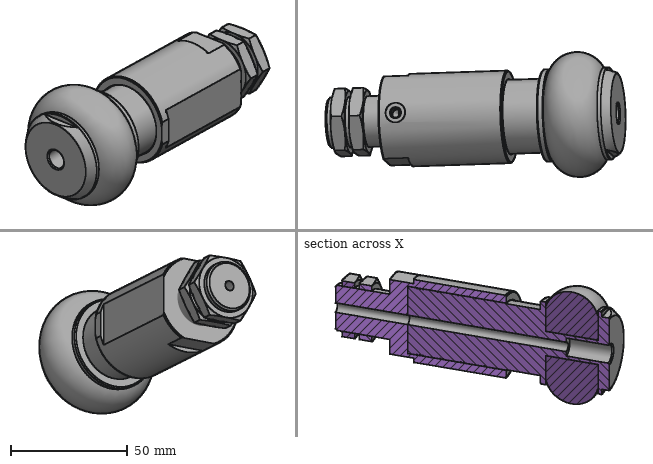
import cadquery as cq
import math


ring_width = 24
ring_front = 5.5
ring_back = ring_front + ring_width
flange_back = ring_back + 2.6
housing_front = 47.5
housing_length = 54
housing_back = housing_front + housing_length
overall_length = 126.5

neck_diameter = 32
flange_diameter = 40
core_diameter = 12
flange_chamfer = 0.6
ring_side_chamfer_length = 0.5
ring_side_chamfer_depth = 0.1
cap_face_diameter = 34.2
cap_cone_diameter = 35.3
cap_cone_front = 0.45
cap_rim_front = 3.85
cap_flat_spacing = 35
cap_flat_length = 3.5
thread_hole_diameter = 8.4
thread_hole_depth = 20
thread_hole_chamfer = 0.6
air_hole_diameter = 4.3

ring_diameter = 54
ring_side_diameter = 35.8

housing_diameter = 40
housing_chamfer = 0.5
stud_diameter = 22
stud_chamfer = 0.9
stud_base_fillet = 0.25
bore_mouth_chamfer = 0.3
wrench_flat_spacing = 36
wrench_flat_length = 11
side_flat_height = 17.75
side_step_height = 19.25
side_step_length = 4.5

port_from_back = 7.6
port_diameter = 4.13
port_chamfer = 0.4
port_seat_diameter = 8.57
port_seat_height = 19.5
port_depth_height = 15.5
port_point_angle = 118
bore_end_offset = 0.75

nut_flat_spacing = 27
nut_thickness = 6
nut_pitch = 8
nut_front = 109.6
nut_face_diameter = 27
nut_chamfer_angle = 20
nut_count = 2

port_y = housing_back - port_from_back
bore_end = port_y - bore_end_offset


def disc(diameter, start, end):
    """Cylinder on the Y axis between two positions."""
    plane = cq.Workplane("XZ", origin=(0, start, 0))
    return plane.circle(diameter / 2).extrude(start - end)


def block(x_range, y_range, z_range):
    """Box given by its two limits along each axis."""
    (x0, x1), (y0, y1), (z0, z1) = x_range, y_range, z_range
    return cq.Workplane("XY").box(x1 - x0, y1 - y0, z1 - z0, centered=False).translate((x0, y0, z0))


def turned(points):
    """Solid of revolution about the Y axis from (radius, Y) points."""
    return cq.Workplane("XY").polyline(points).close().revolve(360, (0, 0, 0), (0, 1, 0))


def cut_flat_pair(body, spacing, start, end):
    """Cut two flats, facing +Z and -Z, between two positions."""
    reach = housing_diameter
    for z_range in ((spacing / 2, reach), (-reach, -spacing / 2)):
        body = body.cut(block((-reach, reach), (start, end), z_range))
    return body


def make_cap():
    rim_radius = flange_diameter / 2
    cap = turned([
        (0, 0),
        (cap_face_diameter / 2, 0),
        (cap_cone_diameter / 2, cap_cone_front),
        (rim_radius, cap_rim_front),
        (rim_radius, ring_front - ring_side_chamfer_length),
        (rim_radius - ring_side_chamfer_depth, ring_front),
        (0, ring_front),
    ])
    return cut_flat_pair(cap, cap_flat_spacing, 0, cap_flat_length)


def make_flange():
    rim_radius = flange_diameter / 2
    return turned([
        (0, ring_back),
        (rim_radius - ring_side_chamfer_depth, ring_back),
        (rim_radius, ring_back + ring_side_chamfer_length),
        (rim_radius, flange_back - flange_chamfer),
        (rim_radius - flange_chamfer, flange_back),
        (0, flange_back),
    ])


def make_spool():
    spool = make_cap()
    spool = spool.union(disc(core_diameter, ring_front, ring_back))
    spool = spool.union(make_flange())
    spool = spool.union(disc(neck_diameter, flange_back, bore_end))
    spool = spool.cut(disc(thread_hole_diameter, 0, thread_hole_depth))
    mouth_radius = thread_hole_diameter / 2 + thread_hole_chamfer
    spool = spool.cut(turned([(0, 0), (mouth_radius, 0), (0, mouth_radius)]))
    return spool.cut(disc(air_hole_diameter, 0, bore_end))


def make_ring():
    side_radius = ring_side_diameter / 2
    core_radius = core_diameter / 2
    return (
        cq.Workplane("XY")
        .moveTo(core_radius, ring_front)
        .lineTo(side_radius, ring_front)
        .threePointArc((ring_diameter / 2, (ring_front + ring_back) / 2), (side_radius, ring_back))
        .lineTo(core_radius, ring_back)
        .close()
        .revolve(360, (0, 0, 0), (0, 1, 0))
    )


def make_port_tool():
    """Seat, chamfer and drilled hole of the port, as one cutter turned about its own axis."""
    radius = port_diameter / 2
    seat_radius = port_seat_diameter / 2
    point_length = radius / math.tan(math.radians(port_point_angle / 2))
    outline = [
        (-housing_diameter, 0),
        (-housing_diameter, seat_radius),
        (-port_seat_height, seat_radius),
        (-port_seat_height, radius + port_chamfer),
        (-port_seat_height + port_chamfer, radius),
        (-port_depth_height, radius),
        (-port_depth_height + point_length, 0),
    ]
    tool = cq.Workplane("XY").polyline(outline).close().revolve(360, (0, 0, 0), (1, 0, 0))
    return tool.translate((0, port_y, 0))


def make_stud_base():
    """Ring of concave fillet where the stud leaves the housing."""
    radius = stud_diameter / 2
    top = housing_back + stud_base_fillet
    middle = stud_base_fillet * (1 - math.sqrt(0.5))
    return (
        cq.Workplane("XY")
        .moveTo(0, housing_back)
        .lineTo(radius + stud_base_fillet, housing_back)
        .threePointArc((radius + middle, housing_back + middle), (radius, top))
        .lineTo(0, top)
        .close()
        .revolve(360, (0, 0, 0), (0, 1, 0))
    )


def make_housing():
    housing = disc(housing_diameter, housing_front, housing_back).edges().chamfer(housing_chamfer)
    housing = cut_flat_pair(housing, wrench_flat_spacing, housing_back - wrench_flat_length, housing_back)
    step_back = housing_front + side_step_length
    reach = housing_diameter
    housing = housing.cut(block((side_flat_height, reach), (step_back, housing_back), (-reach, reach)))
    housing = housing.cut(block((side_step_height, reach), (housing_front, step_back), (-reach, reach)))
    stud = disc(stud_diameter, housing_back, overall_length).faces(">Y").chamfer(stud_chamfer)
    housing = housing.union(stud).union(make_stud_base())
    housing = housing.cut(disc(neck_diameter, housing_front, bore_end))
    mouth_radius = neck_diameter / 2 + bore_mouth_chamfer
    mouth = turned([(0, housing_front), (mouth_radius, housing_front), (0, housing_front + mouth_radius)])
    housing = housing.cut(mouth)
    housing = housing.cut(disc(air_hole_diameter, bore_end, overall_length))
    return housing.cut(make_port_tool())


def make_nut(front):
    back = front + nut_thickness
    corner_diameter = nut_flat_spacing / math.cos(math.pi / 6)
    nut = cq.Workplane("XZ", origin=(0, front, 0)).polygon(6, corner_diameter).extrude(-nut_thickness)
    face_radius = nut_face_diameter / 2
    corner_radius = corner_diameter / 2
    chamfer_length = (corner_radius - face_radius) * math.tan(math.radians(nut_chamfer_angle))
    envelope = turned([
        (0, front),
        (face_radius, front),
        (corner_radius, front + chamfer_length),
        (corner_radius, back - chamfer_length),
        (face_radius, back),
        (0, back),
    ])
    return nut.intersect(envelope).cut(disc(stud_diameter, front, back))


spool = make_spool()
ring = make_ring()
housing = make_housing()
nuts = [make_nut(nut_front + index * nut_pitch) for index in range(nut_count)]

result = cq.Compound.makeCompound([
    housing.val(),
    spool.val(),
    ring.val(),
    *[nut.val() for nut in nuts],
])